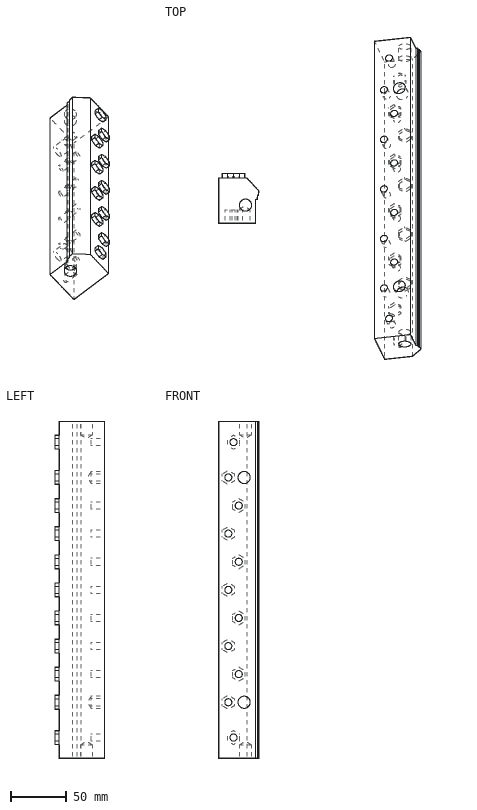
import cadquery as cq
import math

length = 304.8
body_width = 33.5
body_depth = 41.0
overall_width = 36.5
overall_depth = 45.0

bevel_start_x = 25.5
bevel_end_y = 29.3
upper_lip_bottom_x = 36.0
upper_lip_bottom_y = 25.0
lower_lip_top_x = 35.5
lower_lip_bottom_x = 35.0
lower_lip_bottom_y = 21.3

hole_diameter = 6.5
hole_depth = 12.2
head_across_flats = 11.0
head_height = overall_depth - body_depth
screw_pitch = length / 12
inner_screw_count = 9
left_row_x = 8.8
right_row_x = 18.3
end_screw_x = (left_row_x + right_row_x) / 2
end_screw_z = 133.5

port_diameter = 11.0
port_depth = 12.2
drill_point_angle = 118.0
front_port_x = 23.2
front_port_z = 4 * screw_pitch
end_port_x = 24.5
end_port_y = 16.5


def make_body():
    """Constant cross-section extruded along the full length."""
    outline = [
        (0, 0),
        (body_width, 0),
        (body_width, lower_lip_bottom_y),
        (lower_lip_bottom_x, lower_lip_bottom_y),
        (lower_lip_top_x, upper_lip_bottom_y),
        (upper_lip_bottom_x, upper_lip_bottom_y),
        (overall_width, bevel_end_y),
        (bevel_start_x, body_depth),
        (0, body_depth),
    ]
    section = cq.Workplane("XY", origin=(0, 0, -length / 2))
    return section.polyline(outline).close().extrude(length)


def screw_positions():
    """(X, Z) of every screw head and hole: two staggered rows plus one near each end."""
    positions = [(end_screw_x, -end_screw_z), (end_screw_x, end_screw_z)]
    middle = inner_screw_count // 2
    for index in range(-middle, middle + 1):
        row_x = left_row_x if index % 2 == 0 else right_row_x
        positions.append((row_x, index * screw_pitch))
    return positions


def make_mounting_hole(x, z):
    """Flat-bottomed hole in the front face."""
    return cq.Workplane(cq.Solid.makeCylinder(
        hole_diameter / 2, hole_depth, cq.Vector(x, 0, z), cq.Vector(0, 1, 0)))


def make_screw_head(x, z):
    """Hex head on the back face, with corners pointing along Z."""
    across_corners = head_across_flats / math.cos(math.pi / 6)
    plane = cq.Plane(origin=(x, body_depth, z), xDir=(0, 0, 1), normal=(0, 1, 0))
    return cq.Workplane(plane).polygon(6, across_corners).extrude(head_height)


def make_port(mouth, direction):
    """Blind drilled hole: a cylinder from the mouth, closed by a drill-point cone."""
    radius = port_diameter / 2
    point_height = radius / math.tan(math.radians(drill_point_angle / 2))
    axis = cq.Vector(*direction)
    start = cq.Vector(*mouth)
    bore = cq.Solid.makeCylinder(radius, port_depth, start, axis)
    point = cq.Solid.makeCone(radius, 0, point_height, start + axis * port_depth, axis)
    return cq.Workplane(bore.fuse(point))


result = make_body()

for x, z in screw_positions():
    result = result.cut(make_mounting_hole(x, z))
    result = result.union(make_screw_head(x, z))

for side in (-1, 1):
    front_mouth = (front_port_x, 0, side * front_port_z)
    end_mouth = (end_port_x, end_port_y, side * length / 2)
    result = result.cut(make_port(front_mouth, (0, 1, 0)))
    result = result.cut(make_port(end_mouth, (0, 0, -side)))